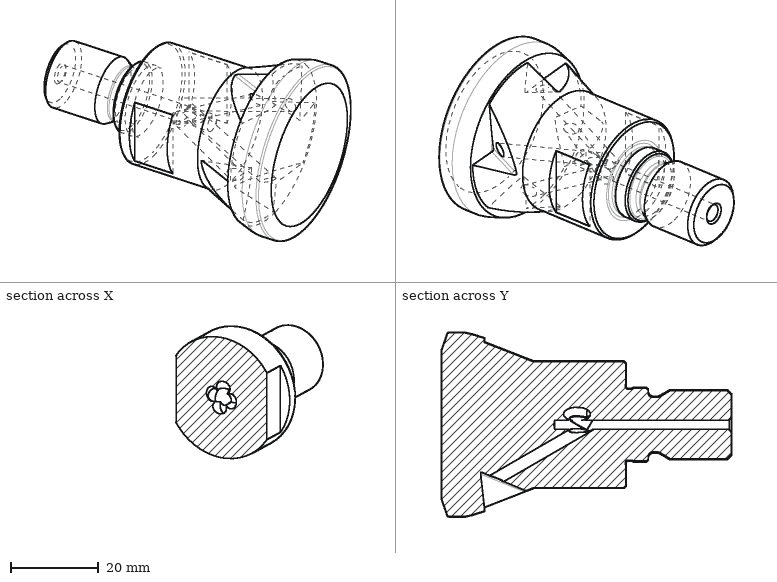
import cadquery as cq
import math


shank_length = 24.0
shank_radius = 16.0 / 2
shank_chamfer = 1.0
thread_length = 14.0
neck_radius = 13.0 / 2
neck_runout_angle = 30.0
neck_fillet = 1.0
neck_runout_fillet = 0.8
neck_end_x = -5.1
pilot_radius = 17.0 / 2
pilot_chamfer = 0.45
pilot_end_x = -1.75
relief_radius = 16.59 / 2
relief_runout_length = 0.5
relief_fillet = 0.6
face_recess_radius = 19.3 / 2
face_recess_depth = 0.12

body_radius = 29.0 / 2
body_length = 21.0
body_chamfer = 0.5
cone_end_radius = 18.85

flat_start_x = 3.0
flat_length = 10.0
flat_width = 16.0
flat_distance = 12.0

head_back_x = 32.1
head_back_radius = 19.75
head_hollow_x = 33.0
head_hollow_radius = 11.6
hollow_slope = (head_hollow_x - head_back_x) / (head_back_radius - head_hollow_radius)
cone_end_x = head_back_x + hollow_slope * (head_back_radius - cone_end_radius)
head_radius = 42.02 / 2
head_arc_end_x = 36.6
head_arc_radius = 30.0
head_rim_x = 40.6
head_front_x = 41.98
head_front_radius = 17.0
rim_fillet = 0.5

pocket_count = 4
pocket_tip = (22.2, -14.95, 0.6)
pocket_floor_slope = 22.0
pocket_floor_lean = 8.5
pocket_wall_drift = 3.5
pocket_wall_lean = 2.5
pocket_fillet = 0.5
pocket_lead = 3.0
pocket_length = 16.0
pocket_width = 18.0
pocket_height = 14.0

bore_radius = 4.0 / 2
bore_mouth_chamfer = 0.5
bore_overrun = 8.0
drill_point_angle = 118.0
coolant_radius = 3.0 / 2
coolant_exit_x = 30.0
coolant_exit_y = -12.6
coolant_exit_z = -2.4
coolant_angle = 60.0
coolant_overrun = 6.0


def ring_at(x):
    """Selector for the circular edges centred on the tool axis at the given X."""
    reach = 0.1
    return cq.selectors.BoxSelector((x - reach, -reach, -reach), (x + reach, reach, reach))


def make_shank_and_body():
    """Turned blank from the shank end up to the back of the head."""
    thread_end_x = -shank_length + thread_length
    runout = (shank_radius - neck_radius) / math.tan(math.radians(neck_runout_angle))
    neck_start_x = thread_end_x + runout
    fillet_start_x = neck_end_x - neck_fillet
    pilot_start_radius = pilot_radius - pilot_chamfer
    relief_start_x = pilot_end_x + relief_runout_length
    corner_radius = relief_radius + relief_fillet
    profile = (
        cq.Workplane("XY")
        .moveTo(-shank_length, 0)
        .lineTo(-shank_length, shank_radius - shank_chamfer)
        .lineTo(-shank_length + shank_chamfer, shank_radius)
        .lineTo(thread_end_x, shank_radius)
        .lineTo(neck_start_x, neck_radius)
        .lineTo(fillet_start_x, neck_radius)
        .radiusArc((neck_end_x, neck_radius + neck_fillet), -neck_fillet)
        .lineTo(neck_end_x, pilot_start_radius)
        .lineTo(neck_end_x + pilot_chamfer, pilot_radius)
        .lineTo(pilot_end_x, pilot_radius)
        .lineTo(relief_start_x, relief_radius)
        .lineTo(face_recess_depth - relief_fillet, relief_radius)
        .radiusArc((face_recess_depth, corner_radius), -relief_fillet)
        .lineTo(0, face_recess_radius)
        .lineTo(0, body_radius - body_chamfer)
        .lineTo(body_chamfer, body_radius)
        .lineTo(body_length, body_radius)
        .lineTo(cone_end_x, cone_end_radius)
        .lineTo(head_hollow_x, head_hollow_radius)
        .lineTo(head_hollow_x, 0)
        .close()
    )
    blank = profile.revolve(360, (0, 0, 0), (1, 0, 0))
    blank = blank.edges(ring_at(neck_start_x)).fillet(neck_runout_fillet)
    return blank.edges(ring_at(relief_start_x)).fillet(relief_fillet)


def make_head():
    """Cutting head: a slightly hollow back, a bulged flank, a cylindrical rim and a conical front."""
    profile = (
        cq.Workplane("XY")
        .moveTo(head_hollow_x, 0)
        .lineTo(head_hollow_x, head_hollow_radius)
        .lineTo(head_back_x, head_back_radius)
        .radiusArc((head_arc_end_x, head_radius), head_arc_radius)
        .lineTo(head_rim_x, head_radius)
        .lineTo(head_front_x, head_front_radius)
        .lineTo(head_front_x, 0)
        .close()
    )
    head = profile.revolve(360, (0, 0, 0), (1, 0, 0))
    return head.edges(ring_at(head_rim_x)).fillet(rim_fillet)


def make_flat_cutter(side):
    """Material outside one wrench flat; side is +1 or -1 along Y."""
    depth = body_radius
    centre = (flat_start_x + flat_length / 2, side * (flat_distance + depth / 2), 0)
    return cq.Workplane("XY").box(flat_length, depth, flat_width).translate(centre)


def make_pocket_cutter():
    """Chip pocket on the -Y side: a sloping floor, an upper wall and a filleted valley."""
    floor_rise = pocket_width * math.tan(math.radians(pocket_floor_lean))
    wall_drop = pocket_height * math.tan(math.radians(pocket_wall_lean))
    section = (
        cq.Workplane("YZ")
        .polyline([
            (0, 0),
            (-floor_rise, -pocket_width),
            (-pocket_height, -pocket_width),
            (-pocket_height, -wall_drop),
        ])
        .close()
    )
    cutter = section.extrude(pocket_length).edges("|X").edges(">Y").fillet(pocket_fillet)
    return (
        cutter.translate((-pocket_lead, 0, 0))
        .rotate((0, 0, 0), (0, 1, 0), pocket_wall_drift)
        .rotate((0, 0, 0), (0, 0, 1), pocket_floor_slope)
        .translate(pocket_tip)
    )


def coolant_start_x():
    """X where the coolant holes pass beside the tool axis."""
    return coolant_exit_x + coolant_exit_y * math.tan(math.radians(coolant_angle))


def make_coolant_hole():
    """Oblique hole from the side of the central bore through the pocket floor."""
    start = cq.Vector(coolant_start_x(), 0, coolant_exit_z)
    path = cq.Vector(coolant_exit_x, coolant_exit_y, coolant_exit_z) - start
    length = path.Length + coolant_overrun
    return cq.Workplane(cq.Solid.makeCylinder(coolant_radius, length, start, path))


def make_bore():
    """Central bore with a chamfered mouth and a drill point."""
    bore_end_x = coolant_start_x() + bore_overrun
    point_length = bore_radius / math.tan(math.radians(drill_point_angle / 2))
    profile = (
        cq.Workplane("XY")
        .moveTo(-shank_length, 0)
        .lineTo(-shank_length, bore_radius + bore_mouth_chamfer)
        .lineTo(-shank_length + bore_mouth_chamfer, bore_radius)
        .lineTo(bore_end_x, bore_radius)
        .lineTo(bore_end_x + point_length, 0)
        .close()
    )
    return profile.revolve(360, (0, 0, 0), (1, 0, 0))


def around_axis(shape, index):
    """Shape turned about the tool axis to the pocket with the given index."""
    return shape.rotate((0, 0, 0), (1, 0, 0), index * 360.0 / pocket_count)


body = make_shank_and_body()
for side in (1, -1):
    body = body.cut(make_flat_cutter(side))

pocket = make_pocket_cutter()
coolant_hole = make_coolant_hole()
for index in range(pocket_count):
    body = body.cut(around_axis(pocket, index))
for index in range(pocket_count):
    body = body.cut(around_axis(coolant_hole, index))

result = body.cut(make_bore()).union(make_head())